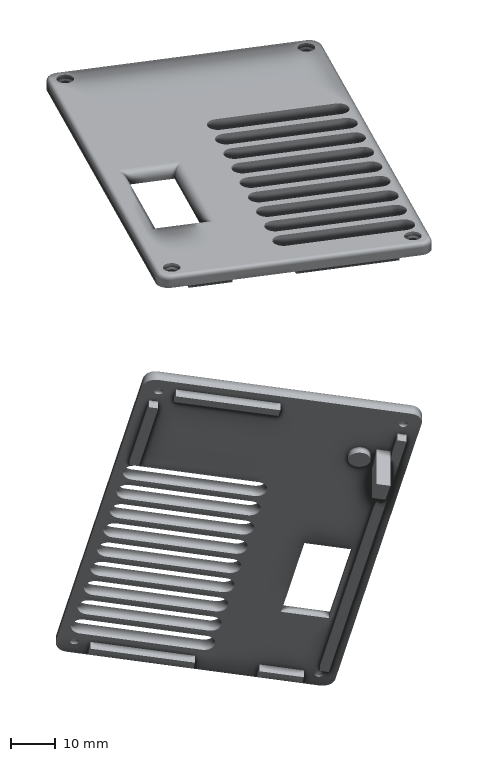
import cadquery as cq

plate_length = 99.0
plate_width = 64.0
plate_thickness = 3.0
corner_radius = 3.0
top_edge_radius = 1.0

screw_inset = 4.0
screw_diameter = 2.0
screw_head_diameter = 4.0
screw_head_depth = 1.0

slot_count = 9
slot_width = 5.0
slot_length = 33.0
slot_row_span = 56.0
slot_row_center_x = 12.0
slot_center_y = 13.5

window_length = 25.0
window_width = 11.0
window_x = 13.1
window_y = -20.6
window_edge_radius = 2.0

rail_depth = 2.0
rail_thickness = 2.1
rail_inset = 2.5
rail_end_gap = 7.5
rail_slot_gap = 2.5
upper_side_rail_length = 24.0
lower_side_rail_length = 10.2

boss_diameter = 5.0
boss_depth = 1.6
boss_y = window_y
leg_length = boss_diameter
leg_width = 3.2
leg_depth = 10.0
leg_x = -33.0
leg_y = -25.5


def box_below(length, width, depth, x, y):
    """Block hanging from the underside of the plate, centred on (x, y)."""
    return cq.Workplane("XY").center(x, y).rect(length, width).extrude(-depth)


def make_plate():
    """Plate with rounded corners, a rounded top edge and the flared display window."""
    plate = (
        cq.Workplane("XY")
        .rect(plate_length, plate_width)
        .extrude(plate_thickness)
        .edges("|Z")
        .fillet(corner_radius)
        .faces(">Z")
        .edges()
        .fillet(top_edge_radius)
    )
    window = (
        cq.Workplane("XY")
        .center(window_x, window_y)
        .rect(window_length, window_width)
        .extrude(plate_thickness)
    )
    window_rim = cq.selectors.BoxSelector(
        (window_x - window_length, window_y - window_width, plate_thickness - top_edge_radius / 2),
        (window_x + window_length, window_y + window_width, plate_thickness + top_edge_radius / 2),
    )
    return plate.cut(window).faces(">Z").edges(window_rim).fillet(window_edge_radius)


def make_long_rails():
    """Full rail along the -Y side and a short one along +Y that stops before the vent slots."""
    rail_y = plate_width / 2 - rail_inset - rail_thickness / 2
    rail_start_x = -plate_length / 2 + rail_end_gap
    full_length = plate_length - 2 * rail_end_gap
    first_slot_edge_x = slot_row_center_x - slot_row_span / 2 - slot_width / 2
    short_length = first_slot_edge_x - rail_slot_gap - rail_start_x
    full_rail = box_below(full_length, rail_thickness, rail_depth, 0, -rail_y)
    short_rail = box_below(short_length, rail_thickness, rail_depth, rail_start_x + short_length / 2, rail_y)
    return full_rail.add(short_rail).combine()


def make_side_rails():
    """Upper rails on both short sides and a lower rail on the +X side only."""
    rail_x = plate_length / 2 - rail_inset - rail_thickness / 2
    rail_end_y = plate_width / 2 - rail_end_gap
    upper_y = rail_end_y - upper_side_rail_length / 2
    lower_y = -rail_end_y + lower_side_rail_length / 2
    rails = box_below(rail_thickness, lower_side_rail_length, rail_depth, rail_x, lower_y)
    for x in (-rail_x, rail_x):
        rails = rails.add(box_below(rail_thickness, upper_side_rail_length, rail_depth, x, upper_y))
    return rails.combine()


def make_boss():
    """Round boss beside the latch leg."""
    return cq.Workplane("XY").center(leg_x, boss_y).circle(boss_diameter / 2).extrude(-boss_depth)


def make_slots():
    """Row of vent slots through the plate."""
    slot_pitch = slot_row_span / (slot_count - 1)
    return (
        cq.Workplane("XY")
        .center(slot_row_center_x, slot_center_y)
        .rarray(slot_pitch, 1, slot_count, 1)
        .slot2D(slot_length, slot_width, 90)
        .extrude(plate_thickness)
    )


def cut_screw_holes(body):
    """Counterbored through holes in the four corners."""
    return (
        body.faces(">Z")
        .workplane(origin=(0, 0, plate_thickness))
        .rect(plate_length - 2 * screw_inset, plate_width - 2 * screw_inset, forConstruction=True)
        .vertices()
        .cboreHole(screw_diameter, screw_head_diameter, screw_head_depth)
    )


body = make_plate()
body = body.union(make_long_rails())
body = body.union(make_side_rails())
body = body.union(make_boss())
body = body.union(box_below(leg_length, leg_width, leg_depth, leg_x, leg_y))
body = body.cut(make_slots())
result = cut_screw_holes(body)